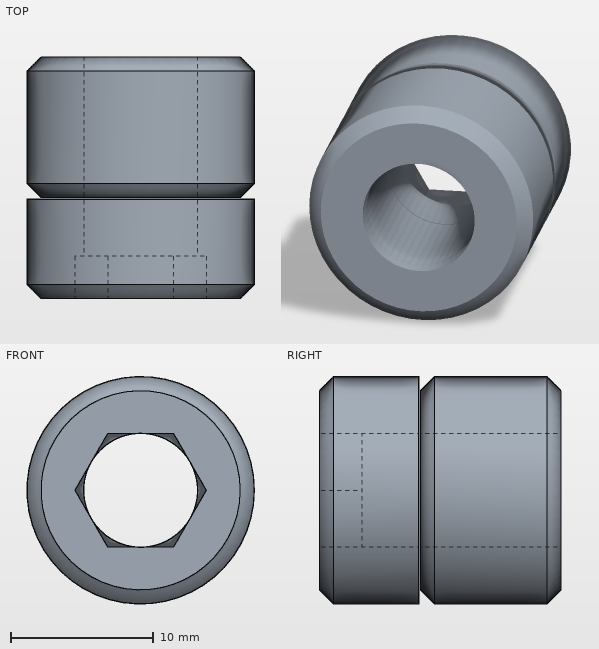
import cadquery as cq
import math

outer_diameter = 16.0
bore_diameter = 8.0
edge_chamfer = 1.0
front_length = 7.0
rear_length = 9.9
body_gap = 0.1
hex_across_flats = bore_diameter
hex_depth = 3.0

hex_across_corners = hex_across_flats / math.cos(math.radians(30))


def bored_cylinder(start_y, length):
    """Cylinder along +Y from start_y, with the bore right through it."""
    return (
        cq.Workplane("XZ", origin=(0, start_y, 0))
        .circle(outer_diameter / 2)
        .circle(bore_diameter / 2)
        .extrude(-length)
    )


def outer_edge(face_selector, body):
    """Outer rim of the chosen end face."""
    return body.faces(face_selector).edges(cq.selectors.RadiusNthSelector(-1))


def make_front_plug():
    """Front body: chamfered front rim and a hexagon socket around the bore."""
    body = bored_cylinder(-front_length, front_length)
    body = outer_edge("<Y", body).chamfer(edge_chamfer)
    socket = (
        cq.Workplane("XZ", origin=(0, -front_length, 0))
        .polygon(6, hex_across_corners)
        .extrude(-hex_depth)
    )
    return body.cut(socket)


def make_rear_sleeve():
    """Rear body: plain bored sleeve, chamfered at both outer rims."""
    body = bored_cylinder(body_gap, rear_length)
    body = outer_edge("<Y", body).chamfer(edge_chamfer)
    return outer_edge(">Y", body).chamfer(edge_chamfer)


front_plug = make_front_plug()
rear_sleeve = make_rear_sleeve()

result = cq.Compound.makeCompound([front_plug.val(), rear_sleeve.val()])